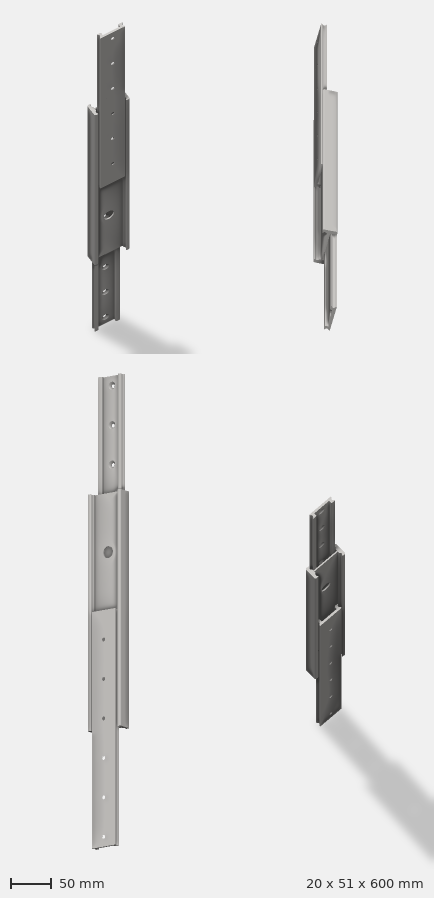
import cadquery as cq

TOTAL_LENGTH = 600.0
TOTAL_WIDTH = 51.0
TOTAL_DEPTH = 20.0
MEMBER_LENGTH = TOTAL_LENGTH / 2
TRAVEL = TOTAL_LENGTH / 4

BEAM_DEPTH = 18.5
WEB_THICKNESS = 2.0
FLANGE_INNER_Y = 20.0
FLANGE_CORNER_RADIUS = 2.0
ACCESS_HOLE_DIAMETER = 15.0
ACCESS_HOLE_Z = MEMBER_LENGTH / 4

CHANNEL_WIDTH = 36.0
CHANNEL_LIP_X = 2.5
CHANNEL_WEB_THICKNESS = 3.0
CHANNEL_FLANGE_THICKNESS = 5.5
LIP_CORNER_RADIUS = 1.0

HOLE_COUNT = 6
HOLE_PITCH = MEMBER_LENGTH / HOLE_COUNT
HOLE_END_MARGIN = HOLE_PITCH / 4
HOLE_DIAMETER = 5.0
COUNTERSINK_DIAMETER = 10.0
COUNTERSINK_HALF_ANGLE = 45
COUNTERSINK_DEPTH = (COUNTERSINK_DIAMETER - HOLE_DIAMETER) / 2

BALL_RADIUS = 2.75
BALL_X = 5.8
BALL_Y = (FLANGE_INNER_Y + CHANNEL_WIDTH / 2) / 2


def bar(x_min, x_max, y_size):
    """Rectangular bar of member length, centred on Y and Z."""
    centre = ((x_min + x_max) / 2, 0, 0)
    return cq.Workplane("XY").box(x_max - x_min, y_size, MEMBER_LENGTH).translate(centre)


def make_ball_tracks():
    """Four round rods along Z that cut the facing grooves of the beam and the channels."""
    return (
        cq.Workplane("XY")
        .rect(2 * BALL_X, 2 * BALL_Y, forConstruction=True)
        .vertices()
        .circle(BALL_RADIUS)
        .extrude(MEMBER_LENGTH / 2, both=True)
    )


def make_beam():
    """I-beam with rounded flange tips, ball grooves and two access holes in its web."""
    half_depth = BEAM_DEPTH / 2
    half_web = WEB_THICKNESS / 2
    pocket_width = 2 * FLANGE_INNER_Y
    beam = (
        bar(-half_depth, half_depth, TOTAL_WIDTH)
        .cut(bar(-half_depth, -half_web, pocket_width))
        .cut(bar(half_web, half_depth, pocket_width))
    )
    beam = beam.edges("|Z and (<X or >X)").fillet(FLANGE_CORNER_RADIUS)
    access_holes = (
        cq.Workplane("YZ")
        .pushPoints([(0, -ACCESS_HOLE_Z), (0, ACCESS_HOLE_Z)])
        .circle(ACCESS_HOLE_DIAMETER / 2)
        .extrude(WEB_THICKNESS, both=True)
    )
    return beam.cut(make_ball_tracks()).cut(access_holes)


def make_mounting_hole(x, z):
    """Through hole along +X, with its countersink at the inner web face at x."""
    web_face = cq.Workplane("YZ", origin=(x, 0, z))
    drill = web_face.circle(HOLE_DIAMETER / 2).extrude(CHANNEL_WEB_THICKNESS)
    sink = web_face.circle(COUNTERSINK_DIAMETER / 2).extrude(COUNTERSINK_DEPTH, taper=COUNTERSINK_HALF_ANGLE)
    return drill.union(sink)


def make_channel():
    """C-channel open toward -X, with ball grooves and countersunk mounting holes."""
    back_x = TOTAL_DEPTH / 2
    web_x = back_x - CHANNEL_WEB_THICKNESS
    cavity_width = CHANNEL_WIDTH - 2 * CHANNEL_FLANGE_THICKNESS

    channel = bar(CHANNEL_LIP_X, back_x, CHANNEL_WIDTH).cut(bar(CHANNEL_LIP_X, web_x, cavity_width))
    for side in (-1, 1):
        lip_corner = cq.selectors.NearestToPointSelector((CHANNEL_LIP_X, side * cavity_width / 2, 0))
        channel = channel.edges("|Z").edges(lip_corner).fillet(LIP_CORNER_RADIUS)
    channel = channel.cut(make_ball_tracks())

    first_hole_z = MEMBER_LENGTH / 2 - HOLE_END_MARGIN
    for i in range(HOLE_COUNT):
        channel = channel.cut(make_mounting_hole(web_x, first_hole_z - i * HOLE_PITCH))
    return channel


beam = make_beam()

channels = []
for turn in (0, 180):
    raised_channel = make_channel().translate((0, 0, TRAVEL))
    channels.append(raised_channel.rotate((0, 0, 0), (0, 1, 0), turn))

result = cq.Compound.makeCompound([beam.val(), *[channel.val() for channel in channels]])